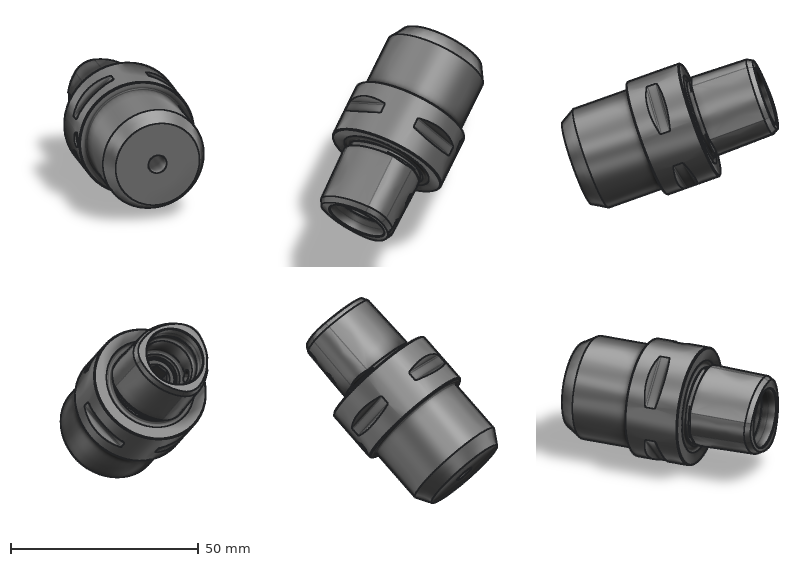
import cadquery as cq
import math


total_length = 54.0
shank_chamfer_length = 1.5
taper_end_x = 17.3
flange_start_x = 18.9
flange_end_x = 34.0
nose_chamfer_length = 4.05

flange_radius = 32.0 / 2
flange_chamfer = 0.25
nose_radius = 14.05
nose_end_radius = 11.65
nose_root_fillet = 0.3

flat_distance = 10.35
lobe_distance = 11.65
lobe_radius = 6.7
lobe_count = 3
taper_slope = 1 / 40
shank_chamfer_inset = 0.8

neck_inset = 0.2
neck_radius = 10.75
shoulder_overrun = 0.5
groove_radius = 0.95
groove_center_offset = 0.55
groove_center_x = flange_start_x - groove_center_offset
groove_bottom_x = groove_center_x + groove_radius
hub_start_x = 18.65

bore_mouth_radius = 8.2
bore_mouth_chamfer = 0.2
bore_entry_radius = bore_mouth_radius - bore_mouth_chamfer
bore_entry_length = 2.5
bore_lip_radius = 7.85
bore_lip_start_x = 3.95
bore_lip_end_x = 4.25
clamp_groove_radius = 8.2
clamp_groove_start_x = 4.55
clamp_groove_fillet_x = 5.65
clamp_groove_fillet = 0.65
clamp_groove_fillet_turn = 45.0
bore_inner_radius = 7.4
bore_depth = 12.85
bore_bottom_fillet = 0.5

screw_radius = 5.55
seat_chamfer = 0.6
screw_start_x = 14.05
screw_length = 9.7
screw_end_x = screw_start_x + screw_length
screw_chamfer = 0.6
through_hole_radius = 2.55
hexagon_sides = 6
hexagon_flats = 6.0
hexagon_depth = 4.85
hexagon_mouth_radius = 3.7
hexagon_sink_angle = 120.0

notch_radius = 2.85
notch_bottom_y = -9.1
notch_length = 4.1
notch_tip_length = 3.7

shank_hole_x = 11.0
shank_hole_radius = 1.8
shank_hole_mouth_radius = 2.15
flange_hole_x = 30.95
flange_hole_radius = 4.05 / 2
flange_hole_depth = 0.7
drill_tip_angle = 118.0

slot_count = 4
slot_x = 27.0
slot_floor_distance = 14.2
slot_floor_width = 2.8
slot_wall_angle = 30.0
slot_corner_radius = 0.45

clearance = 2.7


def revolve_x(points):
    """Revolve an (x, radius) outline about the X axis."""
    return cq.Workplane("XY").polyline(points).close().revolve(360, (0, 0, 0), (1, 0, 0))


def cylinder_x(radius, start_x, end_x):
    """Cylinder along the X axis."""
    return cq.Workplane("YZ", origin=(start_x, 0, 0)).circle(radius).extrude(end_x - start_x)


def lobed_section(x, inset):
    """Three-lobed wire at x, offset inward by inset; one lobe points to +Y."""
    center_distance = lobe_distance - lobe_radius
    side_radius = (
        flat_distance**2 + center_distance**2 - flat_distance * center_distance - lobe_radius**2
    ) / (2 * flat_distance - 2 * lobe_radius - center_distance)
    side_offset = side_radius - flat_distance
    half_turn = math.pi / lobe_count
    meet_angle = math.atan2(
        center_distance * math.sin(half_turn),
        center_distance * math.cos(half_turn) + side_offset,
    )
    meet_across = (side_radius - inset) * math.cos(meet_angle) - side_offset
    meet_along = (side_radius - inset) * math.sin(meet_angle)
    meet_distance = math.hypot(meet_across, meet_along)
    meet_turn = half_turn - math.atan2(meet_along, meet_across)

    def point(distance, angle):
        return cq.Vector(x, distance * math.cos(angle), distance * math.sin(angle))

    edges = []
    for index in range(lobe_count):
        tip = 2 * half_turn * index
        lobe_start = point(meet_distance, tip - meet_turn)
        lobe_end = point(meet_distance, tip + meet_turn)
        side_end = point(meet_distance, tip + 2 * half_turn - meet_turn)
        lobe_tip = point(lobe_distance - inset, tip)
        side_middle = point(flat_distance - inset, tip + half_turn)
        edges.append(cq.Edge.makeThreePointArc(lobe_start, lobe_tip, lobe_end))
        edges.append(cq.Edge.makeThreePointArc(lobe_end, side_middle, side_end))
    return cq.Wire.assembleEdges(edges)


def lobed_prism(start_x, start_inset, end_x, end_inset):
    """Solid between two lobed sections."""
    sections = [lobed_section(start_x, start_inset), lobed_section(end_x, end_inset)]
    return cq.Workplane(cq.Solid.makeLoft(sections, True))


def make_shank():
    """Chamfered taper and the neck behind it."""
    small_inset = (taper_end_x - shank_chamfer_length) * taper_slope
    chamfer = lobed_prism(0, small_inset + shank_chamfer_inset, shank_chamfer_length, small_inset)
    taper = lobed_prism(shank_chamfer_length, small_inset, taper_end_x, 0)
    neck = lobed_prism(taper_end_x, neck_inset, groove_bottom_x, neck_inset)
    shoulder_radius = lobe_distance + clearance
    shoulder_end_x = taper_end_x + shoulder_overrun
    turned_envelope = revolve_x([
        (0, 0),
        (0, shoulder_radius),
        (shoulder_end_x - (shoulder_radius - neck_radius), shoulder_radius),
        (shoulder_end_x, neck_radius),
        (groove_bottom_x, neck_radius),
        (groove_bottom_x, 0),
    ])
    return chamfer.union(taper).union(neck).intersect(turned_envelope)


def make_flange_and_nose():
    """Turned flange and nose, with the round groove in the flange face."""
    flange = cylinder_x(flange_radius, flange_start_x, flange_end_x).edges().chamfer(flange_chamfer)
    nose_chamfer_x = total_length - nose_chamfer_length
    fillet_middle = nose_root_fillet * (1 - math.sqrt(0.5))
    nose = (
        cq.Workplane("XY")
        .moveTo(flange_end_x, 0)
        .lineTo(flange_end_x, nose_radius + nose_root_fillet)
        .threePointArc(
            (flange_end_x + fillet_middle, nose_radius + fillet_middle),
            (flange_end_x + nose_root_fillet, nose_radius),
        )
        .lineTo(nose_chamfer_x, nose_radius)
        .lineTo(total_length, nose_end_radius)
        .lineTo(total_length, 0)
        .close()
        .revolve(360, (0, 0, 0), (1, 0, 0))
    )
    groove_middle_radius = neck_radius + groove_radius
    groove = (
        cq.Workplane("XY")
        .moveTo(groove_center_x, neck_radius)
        .threePointArc(
            (groove_bottom_x, groove_middle_radius),
            (groove_center_x, groove_middle_radius + groove_radius),
        )
        .close()
        .revolve(360, (0, 0, 0), (1, 0, 0))
    )
    hub = cylinder_x(groove_middle_radius, hub_start_x, groove_bottom_x)
    return flange.union(nose).union(hub).cut(groove)


def make_bore():
    """Stepped shank bore, threaded seat and the through hole."""
    fillet_start_x = bore_depth - bore_bottom_fillet
    fillet_end_radius = bore_inner_radius - bore_bottom_fillet
    fillet_center_radius = clamp_groove_radius - clamp_groove_fillet

    def rear_fillet_point(degrees):
        turn = math.radians(degrees)
        return (
            clamp_groove_fillet_x + clamp_groove_fillet * math.sin(turn),
            fillet_center_radius + clamp_groove_fillet * math.cos(turn),
        )

    wall_start_x, wall_start_radius = rear_fillet_point(clamp_groove_fillet_turn)
    wall_end_x = wall_start_x + (wall_start_radius - bore_inner_radius)
    arc_offset = bore_bottom_fillet * math.sqrt(0.5)
    outline = (
        cq.Workplane("XY")
        .moveTo(0, 0)
        .lineTo(0, bore_mouth_radius)
        .lineTo(bore_mouth_chamfer, bore_entry_radius)
        .lineTo(bore_entry_length, bore_entry_radius)
        .lineTo(bore_lip_start_x, bore_lip_radius)
        .lineTo(bore_lip_end_x, bore_lip_radius)
        .lineTo(clamp_groove_start_x, clamp_groove_radius)
        .lineTo(clamp_groove_fillet_x, clamp_groove_radius)
        .threePointArc(
            rear_fillet_point(clamp_groove_fillet_turn / 2),
            (wall_start_x, wall_start_radius),
        )
        .lineTo(wall_end_x, bore_inner_radius)
        .lineTo(fillet_start_x, bore_inner_radius)
        .threePointArc(
            (fillet_start_x + arc_offset, fillet_end_radius + arc_offset),
            (bore_depth, fillet_end_radius),
        )
        .lineTo(bore_depth, screw_radius + seat_chamfer)
        .lineTo(bore_depth + seat_chamfer, screw_radius)
        .lineTo(screw_end_x, screw_radius)
        .lineTo(screw_end_x, through_hole_radius)
        .lineTo(total_length, through_hole_radius)
        .lineTo(total_length, 0)
        .close()
    )
    return outline.revolve(360, (0, 0, 0), (1, 0, 0))


def make_notch():
    """Round-bottomed notch along X with a conical end."""
    axis_y = notch_bottom_y - notch_radius
    start = cq.Vector(-clearance, axis_y, 0)
    tip_start = cq.Vector(notch_length, axis_y, 0)
    along_x = cq.Vector(1, 0, 0)
    run = cq.Solid.makeCylinder(notch_radius, notch_length + clearance, start, along_x)
    tip = cq.Solid.makeCone(notch_radius, 0, notch_tip_length, tip_start, along_x)
    return cq.Workplane(run.fuse(tip))


def make_shank_hole():
    """Countersunk hole through the -Y wall of the shank into the bore."""
    inward = cq.Vector(0, 1, 0)
    surface_y = -flat_distance + (taper_end_x - shank_hole_x) * taper_slope
    mouth_depth = shank_hole_mouth_radius - shank_hole_radius
    hole_start = cq.Vector(shank_hole_x, surface_y - clearance, 0)
    sink_start = cq.Vector(shank_hole_x, surface_y - mouth_depth, 0)
    sink = cq.Solid.makeCone(
        shank_hole_mouth_radius + mouth_depth, shank_hole_radius, 2 * mouth_depth, sink_start, inward
    )
    hole = cq.Solid.makeCylinder(shank_hole_radius, -hole_start.y, hole_start, inward)
    return cq.Workplane(hole.fuse(sink))


def make_flange_hole():
    """Blind drilled hole in the flange."""
    inward = cq.Vector(0, 1, 0)
    start = cq.Vector(flange_hole_x, -flange_radius - clearance, 0)
    tip_start = cq.Vector(flange_hole_x, -flange_radius + flange_hole_depth, 0)
    tip_length = flange_hole_radius / math.tan(math.radians(drill_tip_angle / 2))
    hole = cq.Solid.makeCylinder(flange_hole_radius, flange_hole_depth + clearance, start, inward)
    tip = cq.Solid.makeCone(flange_hole_radius, 0, tip_length, tip_start, inward)
    return cq.Workplane(hole.fuse(tip))


def make_slot(angle):
    """Gripper slot with leaning walls, turned about X by angle from +Z."""
    height = flange_radius - slot_floor_distance + clearance
    half_floor = slot_floor_width / 2
    half_top = half_floor + height * math.tan(math.radians(slot_wall_angle))
    top_z = slot_floor_distance + height
    slot = (
        cq.Workplane("XZ")
        .polyline([
            (slot_x - half_floor, slot_floor_distance),
            (slot_x + half_floor, slot_floor_distance),
            (slot_x + half_top, top_z),
            (slot_x - half_top, top_z),
        ])
        .close()
        .extrude(flange_radius, both=True)
        .faces("<Z")
        .edges("|Y")
        .fillet(slot_corner_radius)
    )
    return slot.rotate((0, 0, 0), (1, 0, 0), angle)


def make_housing():
    """Holder body: shank, flange and nose with all their cuts."""
    housing = make_shank().union(make_flange_and_nose())
    housing = housing.cut(make_bore())
    housing = housing.cut(make_notch())
    housing = housing.cut(make_shank_hole())
    housing = housing.cut(make_flange_hole())
    slot_pitch = 360 / slot_count
    for index in range(slot_count):
        housing = housing.cut(make_slot(slot_pitch * (index + 0.5)))
    return housing


def make_screw():
    """Hollow screw with a countersunk hexagon socket facing the shank end."""
    hexagon_diameter = hexagon_flats / math.cos(math.pi / hexagon_sides)
    sink_slope = math.tan(math.radians(hexagon_sink_angle / 2))
    sink_depth = (hexagon_mouth_radius - hexagon_flats / 2) / sink_slope
    screw = cylinder_x(screw_radius, screw_start_x, screw_end_x).faces("<X").chamfer(screw_chamfer)
    socket = (
        cq.Workplane("YZ", origin=(screw_start_x, 0, 0))
        .transformed(rotate=(0, 0, 90))
        .polygon(hexagon_sides, hexagon_diameter)
        .extrude(hexagon_depth)
    )
    sink = revolve_x([
        (screw_start_x, 0),
        (screw_start_x, hexagon_mouth_radius),
        (screw_start_x + sink_depth, hexagon_flats / 2),
        (screw_start_x + sink_depth, 0),
    ])
    through_hole = cylinder_x(through_hole_radius, screw_start_x, screw_end_x)
    return screw.cut(socket).cut(sink).cut(through_hole)


housing = make_housing()
screw = make_screw()

result = cq.Compound.makeCompound([housing.solids().val(), screw.solids().val()])